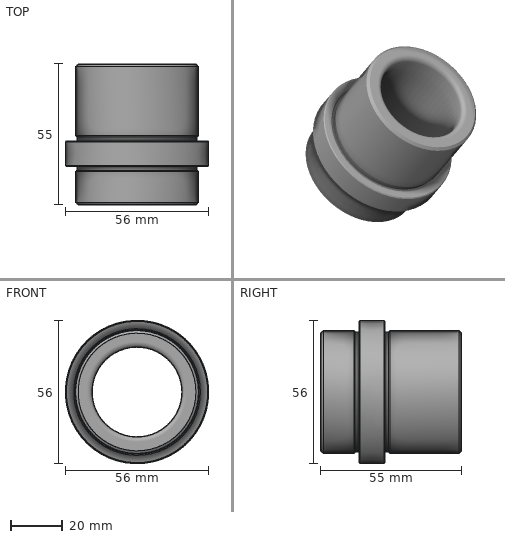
import cadquery as cq

flange_radius = 28.0
flange_width = 10.0
flange_chamfer = 0.4
body_radius = 48.0 / 2
front_length = 15.0
rear_length = 29.95
end_chamfer = 1.0
bore_radius = 35.0 / 2
bore_rounding = 2.0

groove_depth = 0.5
groove_width = 2.0
face_relief_radius = 24.75
face_relief_depth = 0.5

flange_front = -flange_width / 2
flange_rear = flange_width / 2
front_end = flange_front - front_length
rear_end = flange_rear + rear_length


def cylinder(radius, start, end):
    """Solid cylinder about the Y axis, from y = start to y = end."""
    return cq.Workplane("XZ", origin=(0, start, 0)).circle(radius).extrude(start - end)


def relief_cutter(face, outward):
    """Ring that undercuts the body and the flange face; outward is the sign of Y off the face."""
    groove_floor = body_radius - groove_depth
    groove_end = face + outward * groove_width
    recess = face - outward * face_relief_depth
    profile = [
        (groove_floor, recess),
        (face_relief_radius - face_relief_depth, recess),
        (face_relief_radius, face),
        (body_radius, groove_end),
        (groove_floor, groove_end - outward * groove_depth),
    ]
    return cq.Workplane("XY").polyline(profile).close().revolve(360, (0, 0), (0, 1))


body = cylinder(body_radius, front_end, rear_end).edges().chamfer(end_chamfer)
flange = cylinder(flange_radius, flange_front, flange_rear).edges().chamfer(flange_chamfer)
sleeve = body.union(flange)

sleeve = sleeve.cut(relief_cutter(flange_front, -1))
sleeve = sleeve.cut(relief_cutter(flange_rear, 1))

sleeve = sleeve.cut(cylinder(bore_radius, front_end, rear_end))
bore_mouths = cq.selectors.RadiusNthSelector(0)
result = sleeve.edges("%CIRCLE").edges(bore_mouths).fillet(bore_rounding)